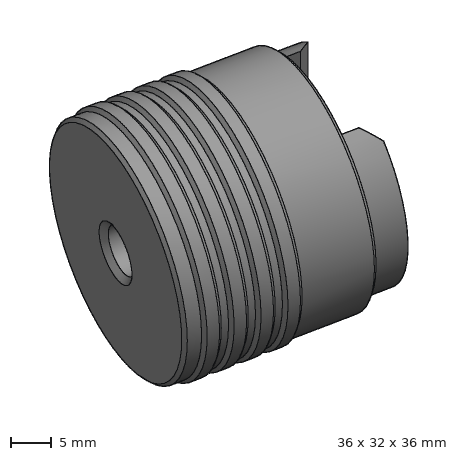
import cadquery as cq

body_length = 27.0
body_radius = 17.5
end_chamfer = 0.5

ring_radius = 18.0
ring_count = 4
ring_width = 2.75
ring_pitch = 3.75
first_ring_start = 2.5
ring_chamfer = ring_radius - body_radius

lug_height = 5.0
lug_outer_radius = 16.0
lug_inner_offset = 7.5
lug_chamfer = 2.25

hole_radius = 3.4
hole_mouth_radius = 4.2
hole_depth = 18.0


def make_body():
    """Ringed cylinder, revolved about Y, with its front face at y = 0."""
    profile = cq.Workplane("XY").moveTo(0, 0)
    profile = profile.lineTo(body_radius - end_chamfer, 0).lineTo(body_radius, end_chamfer)
    for index in range(ring_count):
        start = first_ring_start + index * ring_pitch
        end = start + ring_width
        profile = (
            profile.lineTo(body_radius, start)
            .lineTo(ring_radius, start + ring_chamfer)
            .lineTo(ring_radius, end - ring_chamfer)
            .lineTo(body_radius, end)
        )
    profile = (
        profile.lineTo(body_radius, body_length - end_chamfer)
        .lineTo(body_radius - end_chamfer, body_length)
        .lineTo(0, body_length)
        .close()
    )
    return profile.revolve(360, (0, 0, 0), (0, 1, 0))


def make_lugs():
    """Two circular-segment lugs, left by a chamfered channel through a round boss."""
    lug_top = body_length + lug_height
    boss = (
        cq.Workplane("XZ", origin=(0, body_length, 0))
        .circle(lug_outer_radius)
        .extrude(-lug_height)
    )
    channel_mouth = lug_inner_offset + lug_chamfer
    channel = (
        cq.Workplane("XY")
        .polyline([
            (-lug_inner_offset, body_length),
            (lug_inner_offset, body_length),
            (lug_inner_offset, lug_top - lug_chamfer),
            (channel_mouth, lug_top),
            (-channel_mouth, lug_top),
            (-lug_inner_offset, lug_top - lug_chamfer),
        ])
        .close()
        .extrude(lug_outer_radius, both=True)
    )
    return boss.cut(channel)


def make_hole():
    """Flat-bottomed hole with a 45-degree countersink at its mouth."""
    countersink_depth = hole_mouth_radius - hole_radius
    return (
        cq.Workplane("XY")
        .polyline([
            (0, 0),
            (hole_mouth_radius, 0),
            (hole_radius, countersink_depth),
            (hole_radius, hole_depth),
            (0, hole_depth),
        ])
        .close()
        .revolve(360, (0, 0, 0), (0, 1, 0))
    )


result = make_body().union(make_lugs()).cut(make_hole())